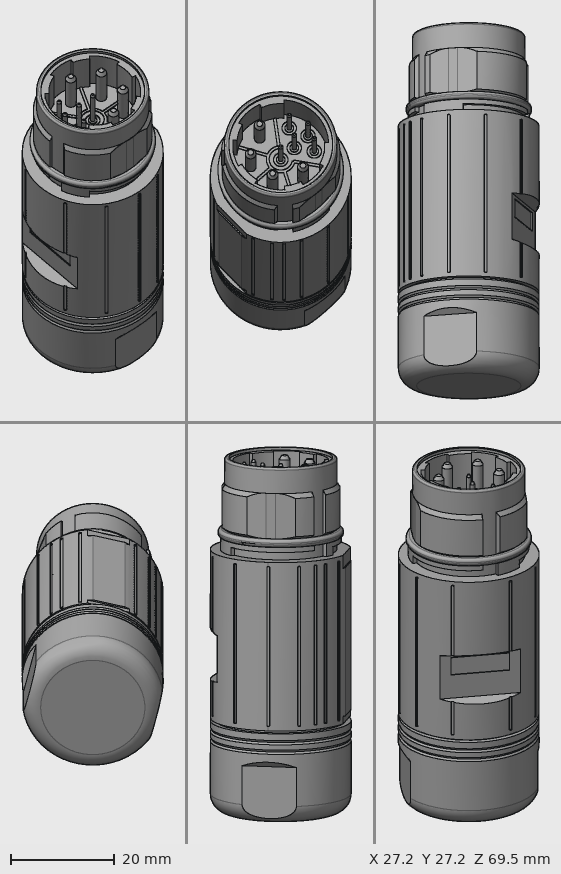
import cadquery as cq
import math

LENGTH = 69.5
BODY_DIAMETER = 27.2
BODY_R = BODY_DIAMETER / 2

CAP_TOP = 17.85
CAP_EDGE_R = 3.55
CAP_GROOVE_Z = (16.1, 14.25)
CAP_GROOVE_HALF_W = 0.4
CAP_GROOVE_DEPTH = 0.3
CAP_FLAT_X = 12.5
CAP_FLAT_TOP = 11.2

NECK_R = 12.5
SLEEVE_BOTTOM = 18.4
SLEEVE_TOP = 51.5
RIB_SLOT_BOTTOM = 19.25
RIB_SLOT_TOP = 50.7
RIB_SLOT_W = 0.55
RIB_SLOT_DEPTH = 0.2
RIB_SLOT_ANGLES = (25, 59.5, 90, 115.5, 130, 140, 156)
FRONT_FLAT_Y = 11.05
FRONT_FLAT_BOTTOM = 26.5
FRONT_FLAT_TOP = 35.6
FRONT_FLAT_SLOPE = 0.6
LABEL_W = 11.55
LABEL_BOTTOM = 31.35
LABEL_TOP = 34.95
LABEL_DEPTH = 0.2
BACK_FLAT_Y = 12.9
BACK_PLATE_Y = 13.2
BACK_PLATE_BOTTOM = 19.8
BACK_PLATE_TOP = 48.9

NOSE_R = 10.85
NOSE_EDGE_R = 0.4
RING_R = 12.1
RING_BOTTOM = 54.1
RING_TOP = 55.6
RING_EDGE_R = 0.6
PAD_R = 11.5
PAD_CORE_R = 10.4
PAD_TOP = 64.5
PAD_TOP_BEVEL = 0.9
PAD_BOTTOM_BEVEL = 0.5
PAD_WALL_BEVEL = 3
FACET_RIDGE_X = 10.8
FACET_RIDGE_HALF_W = 0.9
FACET_HALF_W = 4.7
FLANGE_R = 11.7
FLANGE_BOTTOM = 53.1
PADS = ((-73, 44, 28), (59, 134, 11), (149, 272, 42))

SOCKET_FLOOR = 60.8
RIM_R = 10.0
RIM_DEPTH = 0.55
SOCKET_R = 9.25
KEY_R = 8.5
KEY_SPANS = ((18, 41), (75, 105), (142, 165), (199.5, 230.5), (313, 343))
WEB_W = 0.55
WEB_HEIGHT = 0.2
WEB_RING_R = 2.8
WEB_ANGLES = (30, 90, 154, 217, 325)

POWER_PIN_R = 1.05
POWER_PIN_TIP_R = 0.55
POWER_PIN_TIP = 68.75
POWER_PIN_TAPER = 0.75
POWER_CIRCLE_R = 6.0
POWER_ANGLES = (0, 61.5, 122, 183)
SIGNAL_PIN_R = 0.45
SIGNAL_PIN_TIP_R = 0.2
SIGNAL_PIN_TIP = 68.25
SIGNAL_PIN_TAPER = 0.5
SIGNAL_WELL_R = 1.4
SIGNAL_WELL_DEPTH = 0.3
SIGNAL_COLLAR_R = 0.8
SIGNAL_PLACES = ((0, 0), (3.55, -90), (7.15, -90), (6.7, -57), (6.7, -118))


def cylinder(radius, bottom, top):
    return cq.Workplane("XY").workplane(offset=bottom).circle(radius).extrude(top - bottom)


def box(x_range, y_range, z_range):
    sizes = [high - low for low, high in (x_range, y_range, z_range)]
    corner = (x_range[0], y_range[0], z_range[0])
    return cq.Workplane("XY").box(*sizes, centered=False).translate(corner)


def swept(points, start=0.0, end=360.0):
    """Turn an (r, z) outline about Z from the start angle to the end angle."""
    turned = cq.Workplane("XZ").polyline(points).close().revolve(end - start, (0, 0), (0, 1))
    return turned.rotate((0, 0, 0), (0, 0, 1), start)


def sector(r_in, r_out, bottom, top, start, end):
    outline = [(r_in, bottom), (r_out, bottom), (r_out, top), (r_in, top)]
    return swept(outline, start, end)


def polar(radius, angle):
    turn = math.radians(angle)
    return radius * math.cos(turn), radius * math.sin(turn)


def make_cap():
    cap = cylinder(BODY_R, 0, CAP_TOP).faces("<Z").edges().fillet(CAP_EDGE_R)
    for z in CAP_GROOVE_Z:
        groove = [
            (BODY_R, z - CAP_GROOVE_HALF_W),
            (BODY_R, z + CAP_GROOVE_HALF_W),
            (BODY_R - CAP_GROOVE_DEPTH, z),
        ]
        cap = cap.cut(swept(groove))
    run_out = BODY_R - CAP_FLAT_X
    flat = (
        cq.Workplane("XZ")
        .polyline([
            (CAP_FLAT_X, 0),
            (BODY_R, 0),
            (BODY_R, CAP_FLAT_TOP + run_out),
            (CAP_FLAT_X, CAP_FLAT_TOP),
        ])
        .close()
        .extrude(BODY_R, both=True)
    )
    return cap.cut(flat).cut(flat.mirror("YZ"))


def rib_slot(angle):
    """Narrow upright slot with round ends in the sleeve surface, at an angle from -Y."""
    slot = (
        cq.Workplane("XZ", origin=(0, -BODY_R + RIB_SLOT_DEPTH, 0))
        .center(0, (RIB_SLOT_BOTTOM + RIB_SLOT_TOP) / 2)
        .slot2D(RIB_SLOT_TOP - RIB_SLOT_BOTTOM, RIB_SLOT_W, 90)
        .extrude(2 * RIB_SLOT_DEPTH)
    )
    return slot.rotate((0, 0, 0), (0, 0, 1), angle)


def front_flat():
    """Recess on -Y with slanted upper and lower ends."""
    return (
        cq.Workplane("YZ")
        .polyline([
            (-FRONT_FLAT_Y, FRONT_FLAT_BOTTOM),
            (-FRONT_FLAT_Y, FRONT_FLAT_TOP),
            (-BODY_R, FRONT_FLAT_TOP + FRONT_FLAT_SLOPE),
            (-BODY_R, FRONT_FLAT_BOTTOM - FRONT_FLAT_SLOPE),
        ])
        .close()
        .extrude(BODY_R, both=True)
    )


def make_sleeve():
    sleeve = cylinder(BODY_R, SLEEVE_BOTTOM, SLEEVE_TOP)
    for angle in RIB_SLOT_ANGLES:
        sleeve = sleeve.cut(rib_slot(angle)).cut(rib_slot(-angle))
    sleeve = sleeve.cut(front_flat())
    sleeve = sleeve.cut(box(
        (-LABEL_W / 2, LABEL_W / 2),
        (-FRONT_FLAT_Y, -FRONT_FLAT_Y + LABEL_DEPTH),
        (LABEL_BOTTOM, LABEL_TOP),
    ))
    width = (-BODY_R, BODY_R)
    sleeve = sleeve.cut(box(width, (BACK_PLATE_Y, BODY_R), (SLEEVE_BOTTOM, SLEEVE_TOP)))
    for ends in ((SLEEVE_BOTTOM, BACK_PLATE_BOTTOM), (BACK_PLATE_TOP, SLEEVE_TOP)):
        sleeve = sleeve.cut(box(width, (BACK_FLAT_Y, BODY_R), ends))
    return sleeve.union(cylinder(NECK_R, CAP_TOP, SLEEVE_BOTTOM))


def make_pad(start, end):
    return swept([
        (PAD_CORE_R, RING_TOP),
        (NOSE_R, RING_TOP),
        (PAD_R, RING_TOP + PAD_BOTTOM_BEVEL),
        (PAD_R, PAD_TOP - PAD_TOP_BEVEL),
        (NOSE_R, PAD_TOP),
        (PAD_CORE_R, PAD_TOP),
    ], start, end)


def wall_bevel(angle, lean):
    """Wedge cut from a pad end: the wall keeps its foot at the angle and leans back outwards."""
    return (
        cq.Workplane("XY", origin=(0, 0, RING_TOP))
        .polyline([polar(NOSE_R, angle), polar(FLANGE_R, angle - lean), polar(PAD_R, angle + lean)])
        .close()
        .extrude(PAD_TOP - RING_TOP)
    )


def side_facets():
    """Material outside the three facets on the +X side."""
    facet_end_x = math.sqrt(PAD_R ** 2 - FACET_HALF_W ** 2)
    return (
        cq.Workplane("XY", origin=(0, 0, RING_TOP))
        .polyline([
            (facet_end_x, -FACET_HALF_W),
            (FACET_RIDGE_X, -FACET_RIDGE_HALF_W),
            (FACET_RIDGE_X, FACET_RIDGE_HALF_W),
            (facet_end_x, FACET_HALF_W),
            (BODY_R, FACET_HALF_W),
            (BODY_R, -FACET_HALF_W),
        ])
        .close()
        .extrude(PAD_TOP - RING_TOP)
    )


def make_nose():
    nose = cylinder(NOSE_R, SLEEVE_TOP, LENGTH).faces(">Z").edges().fillet(NOSE_EDGE_R)
    for start, end, block_sweep in PADS:
        nose = nose.union(make_pad(start, end))
        nose = nose.union(sector(PAD_CORE_R, FLANGE_R, FLANGE_BOTTOM, RING_BOTTOM, start, end))
        stop_block = sector(PAD_CORE_R, FLANGE_R, SLEEVE_TOP, RING_BOTTOM, start, start + block_sweep)
        nose = nose.union(stop_block)
    nose = nose.cut(wall_bevel(PADS[0][0], PAD_WALL_BEVEL))
    nose = nose.cut(wall_bevel(PADS[1][1], -PAD_WALL_BEVEL))
    facets = side_facets()
    nose = nose.cut(facets).cut(facets.mirror("YZ"))
    bead = cylinder(RING_R, RING_BOTTOM, RING_TOP).edges().fillet(RING_EDGE_R)
    return nose.union(bead)


def cut_socket(nose):
    ledge = LENGTH - RIM_DEPTH
    nose = nose.cut(cylinder(RIM_R, ledge, LENGTH))
    nose = nose.cut(cylinder(SOCKET_R, SOCKET_FLOOR, ledge))
    for start, end in KEY_SPANS:
        nose = nose.union(sector(KEY_R, RIM_R, SOCKET_FLOOR, ledge, start, end))
    return nose


def make_webs():
    """Low webs on the socket floor: an arc round the centre and five spokes."""
    top = SOCKET_FLOOR + WEB_HEIGHT
    inner_r = WEB_RING_R - WEB_W
    arc_start = WEB_ANGLES[-1] - 360
    arc_end = WEB_ANGLES[-2]
    webs = sector(inner_r, WEB_RING_R, SOCKET_FLOOR, top, arc_start, arc_end)
    for angle in WEB_ANGLES:
        spoke = box(
            (WEB_RING_R - WEB_W / 2, SOCKET_R),
            (-WEB_W / 2, WEB_W / 2),
            (SOCKET_FLOOR, top),
        )
        webs = webs.union(spoke.rotate((0, 0, 0), (0, 0, 1), angle))
    return webs


def make_pin(radius, tip_r, bottom, tip, taper):
    return swept([(0, bottom), (radius, bottom), (radius, tip - taper), (tip_r, tip), (0, tip)])


def add_contacts(housing):
    for angle in POWER_ANGLES:
        pin = make_pin(POWER_PIN_R, POWER_PIN_TIP_R, SOCKET_FLOOR, POWER_PIN_TIP, POWER_PIN_TAPER)
        housing = housing.union(pin.translate((*polar(POWER_CIRCLE_R, angle), 0)))
    well_floor = SOCKET_FLOOR - SIGNAL_WELL_DEPTH
    for radius, angle in SIGNAL_PLACES:
        place = (*polar(radius, angle), 0)
        well = cylinder(SIGNAL_WELL_R, well_floor, SOCKET_FLOOR)
        collar = cylinder(SIGNAL_COLLAR_R, well_floor, SOCKET_FLOOR)
        pin = make_pin(SIGNAL_PIN_R, SIGNAL_PIN_TIP_R, well_floor, SIGNAL_PIN_TIP, SIGNAL_PIN_TAPER)
        housing = housing.cut(well.translate(place))
        housing = housing.union(collar.union(pin).translate(place))
    return housing


def make_housing():
    nose = cut_socket(make_nose()).union(make_webs())
    return add_contacts(make_sleeve().union(nose))


cap = make_cap()
housing = make_housing()

result = cq.Compound.makeCompound([*cap.solids().vals(), *housing.solids().vals()])